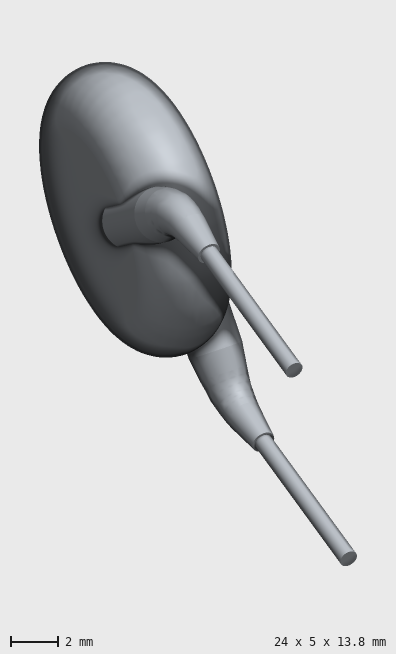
import cadquery as cq
import math

disc_diameter = 13.0
disc_thickness = 4.22
disc_radius = disc_diameter / 2
rim_radius = disc_thickness / 2
flat_radius = disc_radius - rim_radius

wire_diameter = 0.8
wire_height = 6.12
wire_offset = 1.3
wire_end_x = 24 - disc_radius

barrel_diameter = 2.4
barrel_angle = 45
barrel_start_x = 1.78
barrel_end_x = 4.97
barrel_end_fillet = 0.3
axis_meet_x = 6.53
bend_radius = 2.88
taper_end_x = 9.48
taper_end_diameter = 1.03

cos_a = math.cos(math.radians(barrel_angle))
sin_a = math.sin(math.radians(barrel_angle))
barrel_direction = cq.Vector(cos_a, 0, sin_a)
wire_direction = cq.Vector(1, 0, 0)


def barrel_point(x):
    """Point on the inclined barrel axis at the given x."""
    height = wire_height + (x - axis_meet_x) * sin_a / cos_a
    return cq.Vector(x, -wire_offset, height)


def make_disc():
    profile = (
        cq.Workplane("XY")
        .moveTo(0, -rim_radius)
        .lineTo(flat_radius, -rim_radius)
        .threePointArc((disc_radius, 0), (flat_radius, rim_radius))
        .lineTo(0, rim_radius)
        .close()
    )
    return profile.revolve(360, (0, 0, 0), (0, 1, 0))


def make_barrel():
    start = barrel_point(barrel_start_x)
    length = (barrel_point(barrel_end_x) - start).Length
    plane = cq.Plane(start, xDir=(0, 1, 0), normal=barrel_direction)
    barrel = cq.Workplane(plane).circle(barrel_diameter / 2).extrude(length)
    inner_end = cq.selectors.DirectionMinMaxSelector(barrel_direction, False)
    return barrel.faces(inner_end).edges().fillet(barrel_end_fillet)


def make_tapered_bend():
    start = barrel_point(barrel_end_x)
    end = cq.Vector(taper_end_x, -wire_offset, wire_height)
    corner = barrel_point(axis_meet_x)
    tangent_length = bend_radius * math.tan(math.radians(barrel_angle / 2))
    arc_start = corner - barrel_direction * tangent_length
    arc_end = corner + wire_direction * tangent_length
    path = cq.Wire.assembleEdges([
        cq.Edge.makeLine(start, arc_start),
        cq.Edge.makeTangentArc(arc_start, barrel_direction, arc_end),
        cq.Edge.makeLine(arc_end, end),
    ])
    large = cq.Wire.makeCircle(barrel_diameter / 2, start, barrel_direction)
    small = cq.Wire.makeCircle(taper_end_diameter / 2, end, wire_direction)
    return cq.Workplane(cq.Solid.sweep_multi([large, small], path))


def make_wire():
    plane = cq.Plane((taper_end_x, -wire_offset, wire_height), xDir=(0, 1, 0), normal=(1, 0, 0))
    return cq.Workplane(plane).circle(wire_diameter / 2).extrude(wire_end_x - taper_end_x)


lead = make_barrel().union(make_tapered_bend()).union(make_wire())
opposite_lead = lead.rotate((0, 0, 0), (1, 0, 0), 180)
result = make_disc().union(lead).union(opposite_lead)